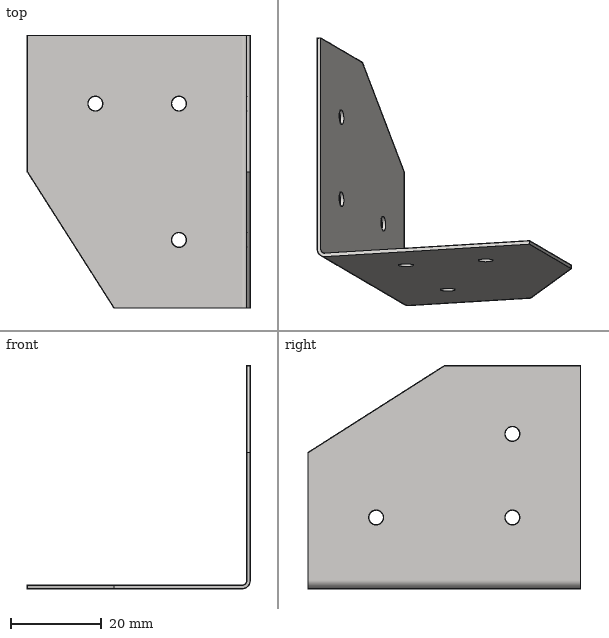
import cadquery as cq

flange_length = 49.1
bracket_width = 60.0
thickness = 0.8
inner_bend_radius = 1.0
outer_bend_radius = inner_bend_radius + thickness

short_edge_length = 30.0
cut_run = flange_length - short_edge_length
cut_width = bracket_width / 2

hole_diameter = 3.2
hole_margin = 15.0
bend_hole_offset = 15.7
hole_centres = [
    (bend_hole_offset, hole_margin),
    (bend_hole_offset, bracket_width - hole_margin),
    (flange_length - hole_margin, bracket_width - hole_margin),
]


def make_flat_flange():
    """Horizontal flange lying on Z = 0, from the end of the bend out to X = 0."""
    outline = [
        (0, cut_width),
        (cut_run, 0),
        (flange_length - outer_bend_radius, 0),
        (flange_length - outer_bend_radius, bracket_width),
        (0, bracket_width),
    ]
    flange = cq.Workplane("XY").polyline(outline).close().extrude(thickness)
    hole_points = [(flange_length - distance, y) for distance, y in hole_centres]
    holes = cq.Workplane("XY").pushPoints(hole_points).circle(hole_diameter / 2).extrude(thickness)
    return flange.cut(holes)


def make_upright_flange(flat_flange):
    """Mirror image of the flat flange in the diagonal plane through the bend."""
    mirrored = flat_flange.mirror("YZ", (flange_length, 0, 0))
    return mirrored.rotate((flange_length, 0, 0), (flange_length, 1, 0), -90)


def make_bend():
    """Quarter ring joining the two flanges, with its axis along Y."""
    axis_x = flange_length - outer_bend_radius
    axis_z = outer_bend_radius
    ring = (
        cq.Workplane("XZ", origin=(axis_x, 0, axis_z))
        .circle(outer_bend_radius)
        .circle(inner_bend_radius)
        .extrude(-bracket_width)
    )
    quarter = cq.Workplane("XY").box(
        outer_bend_radius, bracket_width, outer_bend_radius, centered=False
    )
    return ring.intersect(quarter.translate((axis_x, 0, 0)))


flat_flange = make_flat_flange()
result = flat_flange.union(make_bend()).union(make_upright_flange(flat_flange))